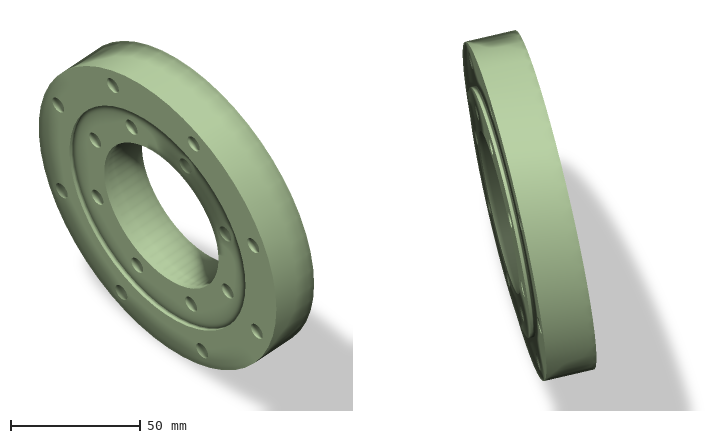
import cadquery as cq

outer_diameter = 135.0
parting_diameter = 99.9
bore_diameter = 65.0
ring_width = 20.0
inner_ring_shift = 2.0

bolt_hole_diameter = 6.8
bolt_hole_count = 8
first_hole_angle = 25.0
outer_bolt_circle = 120.0
inner_bolt_circle = 80.0


def bolted_ring(outside, inside, bolt_circle, front_y):
    """Flat ring from front_y towards +Y, with evenly spaced through holes."""
    face = cq.Workplane("XZ").workplane(offset=-front_y)
    ring = face.circle(outside / 2).circle(inside / 2).extrude(-ring_width)
    bolt_holes = (
        face.polarArray(bolt_circle / 2, first_hole_angle, 360, bolt_hole_count)
        .circle(bolt_hole_diameter / 2)
        .extrude(-ring_width)
    )
    return ring.cut(bolt_holes)


outer_ring = bolted_ring(outer_diameter, parting_diameter, outer_bolt_circle, 0)
inner_ring = bolted_ring(parting_diameter, bore_diameter, inner_bolt_circle, inner_ring_shift)

result = cq.Compound.makeCompound([outer_ring.val(), inner_ring.val()])